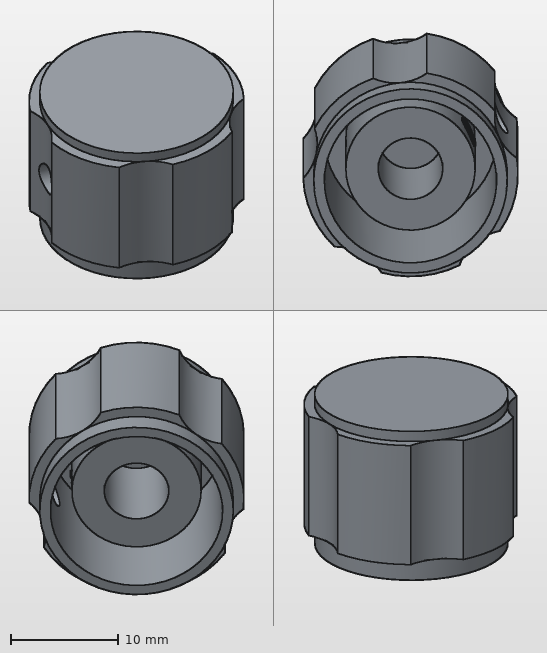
import cadquery as cq
import math

HEIGHT = 15.0
CORE_DIAMETER = 17.98
GRIP_DIAMETER = 19.98
GRIP_BOTTOM = 2.0
GRIP_HEIGHT = 11.99

FLUTE_COUNT = 5
FLUTE_RADIUS = 5.0
FLUTE_OFFSET = CORE_DIAMETER / 2 + FLUTE_RADIUS
FIRST_FLUTE_ANGLE = -90.0

CAVITY_DIAMETER = 16.0
HUB_DIAMETER = 12.0
HUB_BOTTOM = 3.7
SHAFT_DIAMETER = 6.0
ROOF_THICKNESS = 2.0
CAVITY_DEPTH = HEIGHT - ROOF_THICKNESS

SCREW_HOLE_DIAMETER = 3.0
SCREW_DIAMETER = 2.9
SCREW_HEIGHT = HEIGHT / 2
SCREW_HEAD_RADIUS = HUB_DIAMETER / 2
SLOT_WIDTH = 0.6
SLOT_DEPTH = 0.6
SLOT_ANGLE = 34.8


def cylinder(diameter, height, bottom=0.0):
    """Vertical cylinder on the knob axis."""
    return cq.Workplane("XY").workplane(offset=bottom).circle(diameter / 2).extrude(height)


def radial_cylinder(diameter, outer_radius, length):
    """Cylinder at screw height, running from the -Y side inward."""
    plane = cq.Plane(origin=(0, -outer_radius, SCREW_HEIGHT), xDir=(1, 0, 0), normal=(0, 1, 0))
    return cq.Workplane(plane).circle(diameter / 2).extrude(length)


def make_body():
    grip = cylinder(GRIP_DIAMETER, GRIP_HEIGHT, GRIP_BOTTOM)
    for index in range(FLUTE_COUNT):
        angle = math.radians(FIRST_FLUTE_ANGLE + index * 360 / FLUTE_COUNT)
        center = (FLUTE_OFFSET * math.cos(angle), FLUTE_OFFSET * math.sin(angle), 0)
        grip = grip.cut(cylinder(2 * FLUTE_RADIUS, HEIGHT).translate(center))
    return grip.union(cylinder(CORE_DIAMETER, HEIGHT))


def hollow_underside(body):
    body = body.cut(cylinder(CAVITY_DIAMETER, CAVITY_DEPTH))
    body = body.union(cylinder(HUB_DIAMETER, CAVITY_DEPTH - HUB_BOTTOM, HUB_BOTTOM))
    return body.cut(cylinder(SHAFT_DIAMETER, CAVITY_DEPTH))


def make_screw():
    screw = radial_cylinder(
        SCREW_DIAMETER, SCREW_HEAD_RADIUS, SCREW_HEAD_RADIUS - SHAFT_DIAMETER / 2
    )
    slot = (
        cq.Workplane("XY")
        .box(SCREW_DIAMETER, 2 * SLOT_DEPTH, SLOT_WIDTH)
        .rotate((0, 0, 0), (0, 1, 0), SLOT_ANGLE)
        .translate((0, -SCREW_HEAD_RADIUS, SCREW_HEIGHT))
    )
    return screw.cut(slot)


access_length = (GRIP_DIAMETER - HUB_DIAMETER) / 2
access_hole = radial_cylinder(SCREW_HOLE_DIAMETER, GRIP_DIAMETER / 2, access_length)
result = hollow_underside(make_body()).cut(access_hole).union(make_screw())